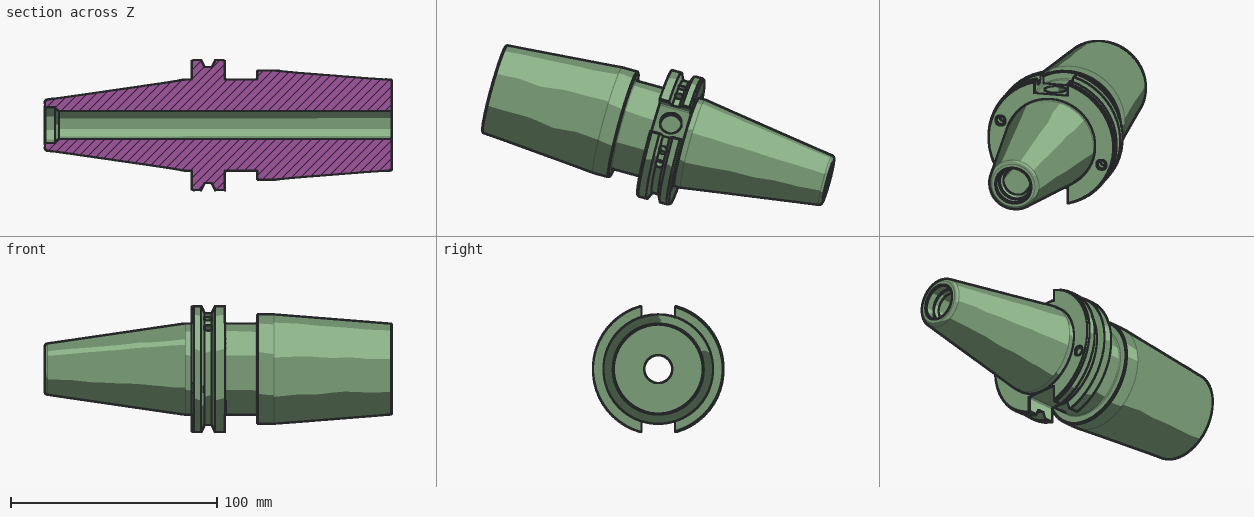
import cadquery as cq
import math

overall_length = 168.2
taper_end_x = 68.1
flange_x = 71.2
flange_width = 16.2
flange_end_x = flange_x + flange_width
body_x = 103.0
body_taper_x = 111.0

gauge_radius = 22.2
taper_rate = 7 / 24 / 2
small_end_radius = gauge_radius - taper_end_x * taper_rate
small_end_round = 1.7

flange_diameter = 63.5
flange_radius = flange_diameter / 2
flange_chamfer_length = 1.2
flange_chamfer_depth = 0.5
back_chamfer_length = 0.8
back_chamfer_depth = 0.5
groove_radius = 28.3
groove_floor_width = 3.4
groove_top_width = 6.7
groove_x = 79.2

body_radius = 26.5
body_end_radius = 22.0
edge_chamfer = 0.5
corner_round = 0.5
match_tolerance = 0.02

bore_radius = 6.7
mouth_radius = 8.5
mouth_depth = 5.0
mouth_chamfer = 0.5
shoulder_radius = 8.0
shoulder_length = 1.9

slot_width = 16.2
slot_corner_round = 0.7
slot_edge_chamfer = 0.5
top_slot_floor_z = 24.5
bottom_slot_floor_z = -22.4

slot_hole_diameter = 10.5
slot_hole_depth = 4.0
radial_hole_diameter = 3.9
radial_hole_depth = 5.0
radial_hole_angles = (30, 45)
face_hole_radius = 2.0
face_hole_depth = 5.7
face_hole_countersink = 0.5
drill_point_angle = 118
face_hole_circle_radius = 27.0
face_hole_angle = 20


def make_turned_body():
    """Revolve the outer outline about the X axis."""
    groove_floor_start = groove_x - groove_floor_width / 2
    groove_floor_end = groove_x + groove_floor_width / 2
    groove_start = groove_x - groove_top_width / 2
    groove_end = groove_x + groove_top_width / 2
    outline = [
        (0, 0),
        (0, small_end_radius),
        (taper_end_x, gauge_radius),
        (flange_x, gauge_radius),
        (flange_x, flange_radius - flange_chamfer_depth),
        (flange_x + flange_chamfer_length, flange_radius),
        (groove_start, flange_radius),
        (groove_floor_start, groove_radius),
        (groove_floor_end, groove_radius),
        (groove_end, flange_radius),
        (flange_end_x, flange_radius),
        (flange_end_x, gauge_radius),
        (body_x, gauge_radius),
        (body_x, body_radius - edge_chamfer),
        (body_x + edge_chamfer, body_radius),
        (body_taper_x, body_radius),
        (overall_length, body_end_radius),
        (overall_length, 0),
    ]
    body = cq.Workplane("XZ").polyline(outline).close().revolve(360, (0, 0, 0), (1, 0, 0))
    body = body.faces("<X").edges().fillet(small_end_round)
    body = body.faces(">X").edges().chamfer(edge_chamfer)

    corner_xs = (flange_end_x, body_x)
    collar_corners = []
    for edge in body.edges("%CIRCLE").vals():
        on_collar = math.isclose(edge.radius(), gauge_radius, abs_tol=match_tolerance)
        at_corner = any(math.isclose(edge.Center().x, x, abs_tol=match_tolerance) for x in corner_xs)
        if on_collar and at_corner:
            collar_corners.append(edge)
    return body.newObject(collar_corners).fillet(corner_round)


def make_bore():
    """Through bore with a chamfered mouth at the small end."""
    outline = [
        (0, 0),
        (0, mouth_radius + mouth_chamfer),
        (mouth_chamfer, mouth_radius),
        (mouth_depth, mouth_radius),
        (mouth_depth, shoulder_radius),
        (mouth_depth + shoulder_length, bore_radius),
        (overall_length, bore_radius),
        (overall_length, 0),
    ]
    return cq.Workplane("XZ").polyline(outline).close().revolve(360, (0, 0, 0), (1, 0, 0))


def make_back_chamfer():
    """Ring cutter that breaks the +X rim of the flange on its +Y half only."""
    outline = [
        (flange_end_x - back_chamfer_length, flange_radius),
        (flange_end_x, flange_radius),
        (flange_end_x, flange_radius - back_chamfer_depth),
    ]
    ring = cq.Workplane("XZ").polyline(outline).close()
    return ring.revolve(180, (0, 0, 0), (-1, 0, 0))


def make_slot(floor_z):
    """Cutter for one drive slot, open outwards, with rounded floor corners and broken edges."""
    side = math.copysign(1, floor_z)
    height = flange_radius - abs(floor_z)
    half_width = slot_width / 2
    wide_half = half_width + slot_edge_chamfer
    slot = cq.Workplane("XY").box(flange_width, slot_width, height)
    floor_face = "<Z" if side > 0 else ">Z"
    slot = slot.faces(floor_face).edges("|X").fillet(slot_corner_round)
    slot = slot.translate((flange_x + flange_width / 2, 0, floor_z + side * height / 2))

    face_opening = [
        (flange_x, -wide_half),
        (flange_x, wide_half),
        (flange_x + slot_edge_chamfer, half_width),
        (flange_x + slot_edge_chamfer, -half_width),
    ]
    face_bevel = cq.Workplane("XY").polyline(face_opening).close().extrude(side * height)
    face_bevel = face_bevel.translate((0, 0, floor_z))

    rim_z = math.sqrt(flange_radius**2 - wide_half**2)
    rim_opening = [
        (-half_width, side * (rim_z - slot_edge_chamfer)),
        (-wide_half, side * rim_z),
        (-wide_half, side * flange_radius),
        (wide_half, side * flange_radius),
        (wide_half, side * rim_z),
        (half_width, side * (rim_z - slot_edge_chamfer)),
    ]
    rim_plane = cq.Workplane("YZ", origin=(flange_x, 0, 0))
    rim_bevel = rim_plane.polyline(rim_opening).close().extrude(flange_width)
    return slot.union(face_bevel).union(rim_bevel)


def make_slot_hole():
    """Flat-bottomed hole in the floor of the top slot."""
    plane = cq.Workplane("XY", origin=(groove_x, 0, top_slot_floor_z - slot_hole_depth))
    return plane.circle(slot_hole_diameter / 2).extrude(slot_hole_depth)


def make_radial_hole(angle):
    """Hole in the groove floor, pointing at the axis."""
    plane = cq.Workplane("XY", origin=(groove_x, 0, groove_radius - radial_hole_depth))
    length = flange_radius - groove_radius + radial_hole_depth
    hole = plane.circle(radial_hole_diameter / 2).extrude(length)
    return hole.rotate((0, 0, 0), (1, 0, 0), angle)


def make_face_hole(angle):
    """Countersunk hole with a drill point, from the -X face of the flange into the V-groove."""
    point_length = face_hole_radius / math.tan(math.radians(drill_point_angle / 2))
    outline = [
        (0, 0),
        (0, face_hole_radius + face_hole_countersink),
        (face_hole_countersink, face_hole_radius),
        (face_hole_depth, face_hole_radius),
        (face_hole_depth + point_length, 0),
    ]
    hole = cq.Workplane("XY").polyline(outline).close().revolve(360, (0, 0, 0), (1, 0, 0))
    hole = hole.translate((flange_x, face_hole_circle_radius, 0))
    return hole.rotate((0, 0, 0), (1, 0, 0), angle)


result = make_turned_body().cut(make_bore())
result = result.cut(make_back_chamfer())
for floor_z in (top_slot_floor_z, bottom_slot_floor_z):
    result = result.cut(make_slot(floor_z))
result = result.cut(make_slot_hole())
for angle in radial_hole_angles:
    for side in (1, -1):
        result = result.cut(make_radial_hole(side * angle))
for angle in (face_hole_angle, face_hole_angle + 180):
    result = result.cut(make_face_hole(angle))